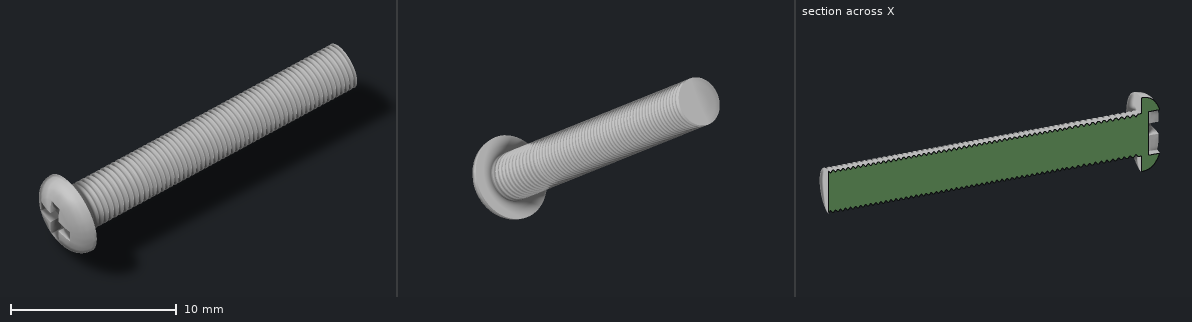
import cadquery as cq

shank_length = 20.09
shank_radius = 1.5
head_radius = 2.6
head_height = 1.295

shoulder_radius = 1.97
shoulder_height = 1.02

recess_span = 3.0
recess_width = 0.84
recess_depth = 0.8
recess_clearance = 0.5

root_radius = 1.33
groove_mouth = 0.27
tip_pitch = 0.324
tip_groove_count = 47
head_pitch = 0.371
head_groove_count = 13
collar_length = 0.2


def make_head():
    """Domed head, revolved about Y, with its flat underside at Y = 0."""
    profile = (
        cq.Workplane("XY")
        .moveTo(0, 0)
        .lineTo(head_radius, 0)
        .spline(
            [(shoulder_radius, -shoulder_height), (0, -head_height)],
            tangents=[(0, -1), (-1, 0)],
            includeCurrent=True,
        )
        .close()
    )
    return profile.revolve(360, (0, 0, 0), (0, 1, 0))


def groove_centers():
    """Y positions of the grooves, in order from the head to the tip."""
    first_head = collar_length + groove_mouth / 2
    last_tip = shank_length - groove_mouth / 2
    near_head = [first_head + i * head_pitch for i in range(head_groove_count)]
    near_tip = [last_tip - i * tip_pitch for i in range(tip_groove_count)]
    return near_head + near_tip[::-1]


def make_shank():
    """Shank with its ring grooves, revolved about Y as a single profile."""
    profile = cq.Workplane("XY").moveTo(0, 0).lineTo(shank_radius, 0)
    for center in groove_centers():
        profile = (
            profile.lineTo(shank_radius, center - groove_mouth / 2)
            .lineTo(root_radius, center)
            .lineTo(shank_radius, center + groove_mouth / 2)
        )
    profile = profile.lineTo(0, shank_length).close()
    return profile.revolve(360, (0, 0, 0), (0, 1, 0))


def make_cross_recess():
    """Two crossed bars that cut the driver recess from the head's crown."""
    bar_length = recess_depth + recess_clearance
    bar_center = (0, recess_depth - head_height - bar_length / 2, 0)
    wide_bar = cq.Workplane("XY").box(recess_span, bar_length, recess_width)
    tall_bar = cq.Workplane("XY").box(recess_width, bar_length, recess_span)
    return wide_bar.union(tall_bar).translate(bar_center)


result = make_head().union(make_shank()).cut(make_cross_recess())